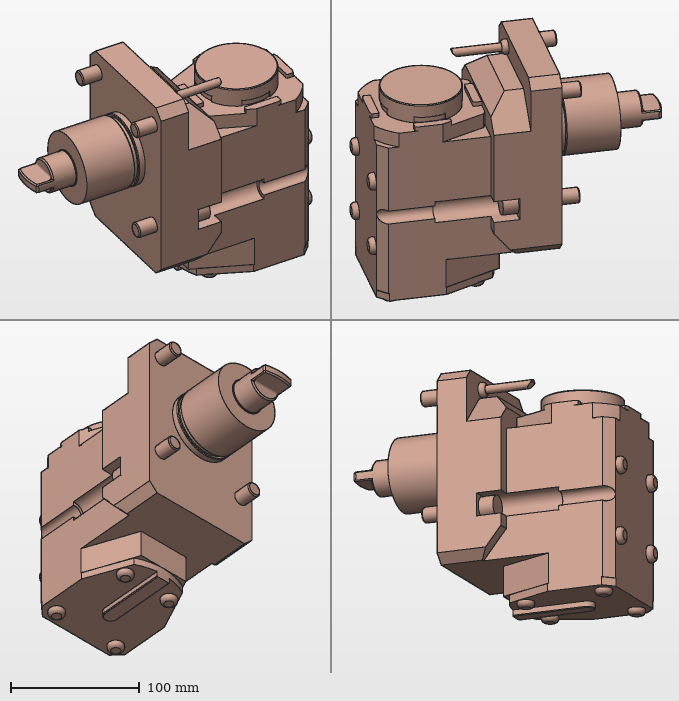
import cadquery as cq
import math


plate_width = 108.0
plate_thickness = 25.0
plate_top = 64.5
plate_bottom = -90.3
plate_chamfer = 8.0

block_back = 54.5
block_top = 45.9
block_side_chamfer = 24.7
block_back_chamfer = 14.2
block_slope_depth = 19.5
block_slope_height = 24.0

housing_half_width = 43.7
housing_back = 144.0
housing_bottom = -121.3
housing_front = 43.0
housing_corner = 7.7
axis_y = 100.1
ledge_z = 14.6

slant_start_y = 90.5
nose_half_width = 23.5
bottom_cover_thickness = 6.5
bottom_cover_inset = 0.7
bottom_cover_corner = 8.5

cover_z = 27.0
cover_corner_radius = 51.9
cover_front = 55.0
cover_front_half_width = 27.5
cover_slant_start_y = 93.0
cover_front_fillet = 2.0
tab_height = 3.5
tab_width = 30.0
tab_depth = 7.0
tab_fillet = 1.2
tab_outer_radius = 45.4

cap_diameter = 65.0
cap_top = 42.7
cap_chamfer = 0.7
cap_relief_diameter = 62.7
cap_relief_width = 25.0
cap_relief_height = 5.0

shank_diameter = 59.8
shank_end = -52.8
groove_diameter = 55.2
groove_start = -5.8
groove_end = -9.1
groove_chamfer = 0.7
relief_diameter = 59.5
relief_end = -1.2
relief_taper_end = -2.2
spindle_diameter = 28.5
spindle_end = -74.5
spindle_chamfer = 1.2
neck_diameter = 30.0
neck_length = 0.7
tang_thickness = 8.0
tang_end = -91.0
tang_bow = 2.0
tang_corner_width = 0.7
tang_corner_length = 2.2
tang_chamfer = 1.2
tang_root_fillet = 2.0

bolt_diameter = 12.5
bolt_x = 42.0
bolt_z = 47.0
upper_bolt_length = 17.3
lower_bolt_length = 16.0
bolt_chamfer = 1.0
head_diameter = 18.0
head_seat_y = 33.9
head_back_y = 46.3
channel_diameter = 18.5
channel_back_y = 99.2
key_channel_diameter = 12.0

button_diameter = 14.0
button_top_diameter = 8.0
button_height = 5.0
button_rim = 0.7
rear_screw_x = 28.8
rear_screw_heights = (-21.5, -78.8)
cover_bolt_circle = 44.7
cover_screw_x = (23.0, 31.2)

key_width = 13.0
key_back_y = 110.2
key_height = 5.0
key_chamfer = 0.7

tube_x = 26.0
tube_z = 53.5
tube_diameter = 7.0
tube_end_y = 69.5
tube_bevel = 4.5
collar_diameter = 12.0

overlap = 2.5


def box(x_range, y_range, z_range):
    """Box between two limits on each axis."""
    sizes = [high - low for low, high in (x_range, y_range, z_range)]
    corner = (x_range[0], y_range[0], z_range[0])
    return cq.Workplane("XY").box(*sizes, centered=False).translate(corner)


def rod(diameter, y_start, y_end, x=0.0, z=0.0):
    """Cylinder along Y from y_start forward to the smaller y_end."""
    plane = cq.Plane(origin=(x, y_start, z), xDir=(1, 0, 0), normal=(0, -1, 0))
    return cq.Workplane(plane).circle(diameter / 2).extrude(y_start - y_end)


def disc(radius, z_start, z_end):
    """Upright cylinder about the vertical axis of the cap."""
    return cq.Workplane("XY", origin=(0, axis_y, z_start)).circle(radius).extrude(z_end - z_start)


def button_head(base_diameter, centre, direction):
    """Domed screw head standing on centre and pointing along direction."""
    base = base_diameter / 2
    top = button_top_diameter / 2
    bulge = math.sin(math.pi / 4)
    middle = (top + (base - top) * bulge, button_rim + (button_height - button_rim) * bulge)
    head = (
        cq.Workplane("XZ")
        .moveTo(0, -overlap)
        .lineTo(base, -overlap)
        .lineTo(base, button_rim)
        .threePointArc(middle, (top, button_height))
        .lineTo(0, button_height)
        .close()
        .revolve(360, (0, 0, 0), (0, 1, 0))
    )
    if direction == "+Y":
        head = head.rotate((0, 0, 0), (1, 0, 0), -90)
    else:
        head = head.rotate((0, 0, 0), (1, 0, 0), 180)
    return head.translate(centre)


def mounting_plate():
    half = plate_width / 2
    plate = box((-half, half), (0, plate_thickness), (plate_bottom, plate_top))
    return plate.edges("|Y").chamfer(plate_chamfer)


def adapter_block():
    half = plate_width / 2
    block = box((-half, half), (0, block_back), (plate_bottom, block_top))
    block = block.edges("|Y and >Z").chamfer(block_side_chamfer)
    block = block.edges("|Y and <Z").chamfer(plate_chamfer)
    profile = (
        cq.Workplane("YZ")
        .moveTo(0, plate_bottom)
        .lineTo(block_back - block_slope_depth, plate_bottom)
        .lineTo(block_back, plate_bottom + block_slope_height)
        .lineTo(block_back, block_top - block_back_chamfer)
        .lineTo(block_back - block_back_chamfer, block_top)
        .lineTo(0, block_top)
        .close()
        .extrude(half, both=True)
    )
    return block.intersect(profile)


def housing_foot(corner, inset, height):
    """Lower housing outline, its slanted front faces set in, raised from the bottom face."""
    w = housing_half_width
    nose = nose_half_width - inset
    slant_y = slant_start_y - inset
    return (
        cq.Workplane("XY")
        .workplane(offset=housing_bottom)
        .moveTo(-nose, housing_front)
        .lineTo(nose, housing_front)
        .lineTo(w, slant_y)
        .lineTo(w, housing_back - corner)
        .lineTo(w - corner, housing_back)
        .lineTo(corner - w, housing_back)
        .lineTo(-w, housing_back - corner)
        .lineTo(-w, slant_y)
        .close()
        .extrude(height)
    )


def housing():
    w = housing_half_width
    middle = box((-w, w), (plate_thickness, housing_back), (plate_bottom, ledge_z))
    middle = middle.edges("|Z and >Y").chamfer(housing_corner)

    cover_top = housing_bottom + bottom_cover_thickness
    foot = housing_foot(housing_corner, 0, plate_bottom - housing_bottom)
    foot = foot.intersect(box((-w, w), (0, housing_back), (cover_top, plate_bottom)))

    bottom_cover = housing_foot(bottom_cover_corner, bottom_cover_inset, bottom_cover_thickness)
    round_front = disc(axis_y - housing_front, housing_bottom, cover_top)
    return middle.union(foot).union(bottom_cover.intersect(round_front))


def top_cover():
    w = housing_half_width
    base_z = ledge_z - overlap
    tab_top = cover_z + tab_height
    outline = (
        cq.Workplane("XY")
        .workplane(offset=base_z)
        .moveTo(-cover_front_half_width, cover_front)
        .lineTo(cover_front_half_width, cover_front)
        .lineTo(w, cover_slant_start_y)
        .lineTo(w, housing_back)
        .lineTo(-w, housing_back)
        .lineTo(-w, cover_slant_start_y)
        .close()
        .extrude(tab_top - base_z)
        .edges("|Z and <Y")
        .fillet(cover_front_fillet)
    )
    cover = outline.intersect(disc(cover_corner_radius, base_z, cover_z))
    rounded = outline.intersect(disc(tab_outer_radius, base_z, tab_top))

    tab_z = (cover_z - overlap, tab_top)
    half = tab_width / 2
    side_y = (axis_y - half, axis_y + half)
    tab_places = (
        ((-w, tab_depth - w), side_y, ">X", rounded),
        ((w - tab_depth, w), side_y, "<X", rounded),
        ((-half, half), (cover_front, cover_front + tab_depth), ">Y", outline),
        ((-half, half), (housing_back - tab_depth, housing_back), "<Y", rounded),
    )
    for x_range, y_range, inner_side, limit in tab_places:
        tab = box(x_range, y_range, tab_z).edges("|Z and " + inner_side).fillet(tab_fillet)
        cover = cover.union(tab.intersect(limit))
    return cover


def cap():
    radius = cap_diameter / 2
    half = cap_relief_width / 2
    relief_z = (cover_z, cover_z + cap_relief_height)
    core = disc(cap_relief_diameter / 2, cover_z - overlap, relief_z[1])
    body = disc(radius, cover_z, cap_top).faces(">Z").chamfer(cap_chamfer)
    body = body.cut(box((-half, half), (axis_y - radius, axis_y + radius), relief_z))
    body = body.cut(box((-radius, radius), (axis_y - half, axis_y + half), relief_z))
    return body.union(core)


def shank():
    outer = shank_diameter / 2
    inner = groove_diameter / 2
    profile = (
        cq.Workplane("XY")
        .moveTo(0, overlap)
        .lineTo(relief_diameter / 2, overlap)
        .lineTo(relief_diameter / 2, relief_end)
        .lineTo(outer, relief_taper_end)
        .lineTo(outer, groove_start + groove_chamfer)
        .lineTo(outer - groove_chamfer, groove_start)
        .lineTo(inner, groove_start)
        .lineTo(inner, groove_end)
        .lineTo(outer - groove_chamfer, groove_end)
        .lineTo(outer, groove_end - groove_chamfer)
        .lineTo(outer, shank_end)
        .lineTo(0, shank_end)
        .close()
    )
    return profile.revolve(360, (0, 0, 0), (0, 1, 0))


def spindle():
    neck = rod(neck_diameter, shank_end + overlap, shank_end - neck_length)
    shaft = rod(spindle_diameter, shank_end - neck_length, spindle_end)
    shaft = shaft.faces("<Y").chamfer(spindle_chamfer)

    half_width = spindle_diameter / 2
    half_thickness = tang_thickness / 2
    arc_x = half_width - tang_corner_width
    arc_y = tang_end + tang_bow
    tang = (
        cq.Workplane("XY")
        .workplane(offset=-half_thickness)
        .moveTo(-half_width, spindle_end + overlap)
        .lineTo(-half_width, arc_y + tang_corner_length)
        .lineTo(-arc_x, arc_y)
        .threePointArc((0, tang_end), (arc_x, arc_y))
        .lineTo(half_width, arc_y + tang_corner_length)
        .lineTo(half_width, spindle_end + overlap)
        .close()
        .extrude(tang_thickness)
        .faces("|Z")
        .edges("not >Y")
        .chamfer(tang_chamfer)
    )
    tang = tang.intersect(rod(spindle_diameter, spindle_end + overlap, tang_end))

    root = half_thickness + tang_root_fillet
    root_y = spindle_end - tang_root_fillet
    flare = box((-half_width, half_width), (root_y, spindle_end), (-root, root))
    for side in (-1, 1):
        hollow = (
            cq.Workplane("YZ")
            .center(root_y, side * root)
            .circle(tang_root_fillet)
            .extrude(half_width, both=True)
        )
        flare = flare.cut(hollow)
    flare = flare.intersect(rod(spindle_diameter - 2 * spindle_chamfer, spindle_end, root_y))
    return neck.union(shaft).union(flare).union(tang)


def access_channels():
    """Channels open to the sides that reach the heads of the two lower bolts."""
    side = plate_width / 2
    half = channel_diameter / 2
    z_range = (-bolt_z - half, -bolt_z + half)
    channels = cq.Workplane("XY")
    for sign in (-1, 1):
        x = sign * bolt_x
        wide = rod(channel_diameter, channel_back_y, head_seat_y, x, -bolt_z)
        narrow = rod(key_channel_diameter, housing_back, channel_back_y, x, -bolt_z)
        x_range = sorted((x, sign * side))
        opening = box(x_range, (head_seat_y, channel_back_y), z_range)
        channels = channels.union(wide).union(narrow).union(opening)
    return channels


def bolts():
    group = cq.Workplane("XY")
    for sign in (-1, 1):
        x = sign * bolt_x
        for z, length in ((bolt_z, upper_bolt_length), (-bolt_z, lower_bolt_length)):
            stud = rod(bolt_diameter, overlap, -length, x, z)
            group = group.union(stud.faces("<Y").chamfer(bolt_chamfer))
        group = group.union(rod(head_diameter, head_back_y, head_seat_y - overlap, x, -bolt_z))
    return group


def screws():
    group = cq.Workplane("XY")
    front_x, rear_x = cover_screw_x
    front_y = axis_y - math.sqrt(cover_bolt_circle**2 - front_x**2)
    rear_y = axis_y + math.sqrt(cover_bolt_circle**2 - rear_x**2)
    for sign in (-1, 1):
        for z in rear_screw_heights:
            centre = (sign * rear_screw_x, housing_back, z)
            group = group.union(button_head(button_diameter, centre, "+Y"))
        for x, y in ((front_x, front_y), (rear_x, rear_y)):
            centre = (sign * x, y, housing_bottom)
            group = group.union(button_head(button_diameter, centre, "-Z"))
    return group


def location_key():
    half = key_width / 2
    arc_centre_y = key_back_y - half
    key_bottom = housing_bottom - key_height
    key = (
        cq.Workplane("XY")
        .workplane(offset=key_bottom)
        .moveTo(-half, housing_front)
        .lineTo(-half, arc_centre_y)
        .threePointArc((0, key_back_y), (half, arc_centre_y))
        .lineTo(half, housing_front)
        .close()
        .extrude(key_height + overlap)
        .faces("<Z")
        .edges("not(<Y)")
        .chamfer(key_chamfer)
    )
    front_limit = disc(axis_y - housing_front, key_bottom, housing_bottom + overlap)
    return key.intersect(front_limit)


def coolant_tube():
    radius = tube_diameter / 2
    tube = rod(tube_diameter, tube_end_y, plate_thickness - overlap, tube_x, tube_z)
    bevel = (
        cq.Workplane("YZ")
        .workplane(offset=tube_x)
        .moveTo(tube_end_y, tube_z - radius)
        .lineTo(tube_end_y - tube_bevel, tube_z - radius)
        .lineTo(tube_end_y, tube_z - radius + tube_bevel)
        .close()
        .extrude(radius, both=True)
    )
    collar = button_head(collar_diameter, (tube_x, plate_thickness, tube_z), "+Y")
    return tube.cut(bevel).union(collar)


body = mounting_plate().union(adapter_block()).union(housing()).union(top_cover())
body = body.cut(access_channels())
for feature in (cap, shank, spindle, bolts, screws, location_key, coolant_tube):
    body = body.union(feature())
result = body